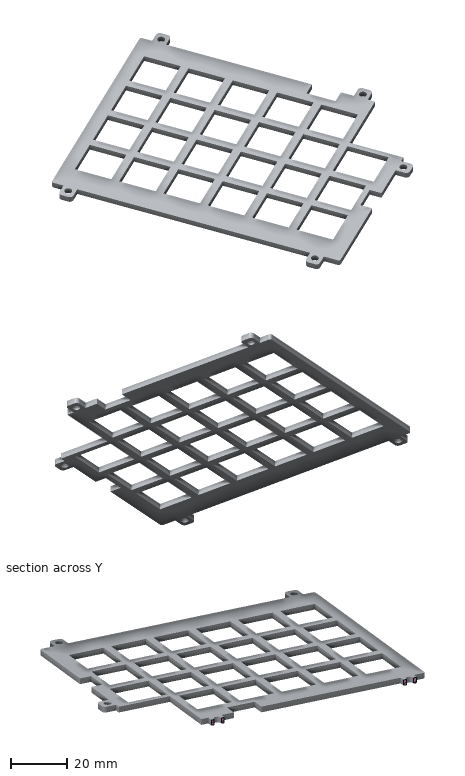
import cadquery as cq

overall_length = 115.7
overall_width = 93.3
thickness = 2.2
tab_reach = 5.0

plate_length = overall_length - tab_reach
plate_width = overall_width - 2 * tab_reach
plate_corner_radius = 0.8

key_size = 14.0
key_pitch = 17.0
key_columns = 6
key_rows = 4
first_key_x = 5.1
first_key_y = 9.6
wide_key_length = 15.7
wide_key_column = 5
wide_key_row = 2
missing_key = (5, 3)

step_x = first_key_x + (key_columns - 1) * key_pitch
step_y = 59.6

top_notch_x = 66.0
top_notch_length = 11.1
top_notch_depth = 5.1
right_notch_y = 30.3
right_notch_length = 8.7
right_notch_depth = 4.5

tab_width = 5.3
tab_corner_radius = 1.4
tab_overlap = 1.2
screw_hole_diameter = 2.8
screw_hole_offset = 2.0
left_tab_x = 7.3
top_right_tab_x = 84.7
bottom_right_tab_x = 101.9
right_tab_y = 54.8

tabs = [
    (left_tab_x, plate_width, 90),
    (top_right_tab_x, plate_width, 90),
    (left_tab_x, 0, -90),
    (bottom_right_tab_x, 0, -90),
    (plate_length, right_tab_y, 0),
]


def block(x, y, length, width):
    """Full-thickness block with its lower-left corner at (x, y)."""
    return cq.Workplane("XY").box(length, width, thickness, centered=False).translate((x, y, 0))


def placed(shape, x, y, angle):
    """Turn a shape made around the origin to face outward, then move it to a plate edge."""
    return shape.rotate((0, 0, 0), (0, 0, 1), angle).translate((x, y, 0))


def plate_body():
    """Plate with rounded outer corners, a stepped upper-right corner and two edge notches."""
    body = block(0, 0, plate_length, plate_width).edges("|Z").fillet(plate_corner_radius)
    body = body.cut(block(step_x, step_y, plate_length - step_x, plate_width - step_y))
    body = body.cut(
        block(top_notch_x, plate_width - top_notch_depth, top_notch_length, top_notch_depth)
    )
    return body.cut(
        block(plate_length - right_notch_depth, right_notch_y, right_notch_depth, right_notch_length)
    )


def tab_blank():
    """Tab pointing along +X with its two outer corners rounded."""
    blank = block(-tab_overlap, -tab_width / 2, tab_overlap + tab_reach, tab_width)
    return blank.edges("|Z and >X").fillet(tab_corner_radius)


def screw_hole():
    """Cylinder that pierces a tab pointing along +X."""
    return cq.Workplane("XY").center(screw_hole_offset, 0).circle(screw_hole_diameter / 2).extrude(thickness)


def cut_keys(plate):
    """Cut the key openings, one of them wider than the rest."""
    for column in range(key_columns):
        for row in range(key_rows):
            if (column, row) == missing_key:
                continue
            is_wide = (column, row) == (wide_key_column, wide_key_row)
            length = wide_key_length if is_wide else key_size
            x = first_key_x + column * key_pitch
            y = first_key_y + row * key_pitch
            plate = plate.cut(block(x, y, length, key_size))
    return plate


def add_tabs(plate):
    """Join the screw tabs to the plate and pierce them."""
    for x, y, angle in tabs:
        plate = plate.union(placed(tab_blank(), x, y, angle))
        plate = plate.cut(placed(screw_hole(), x, y, angle))
    return plate


result = add_tabs(cut_keys(plate_body()))